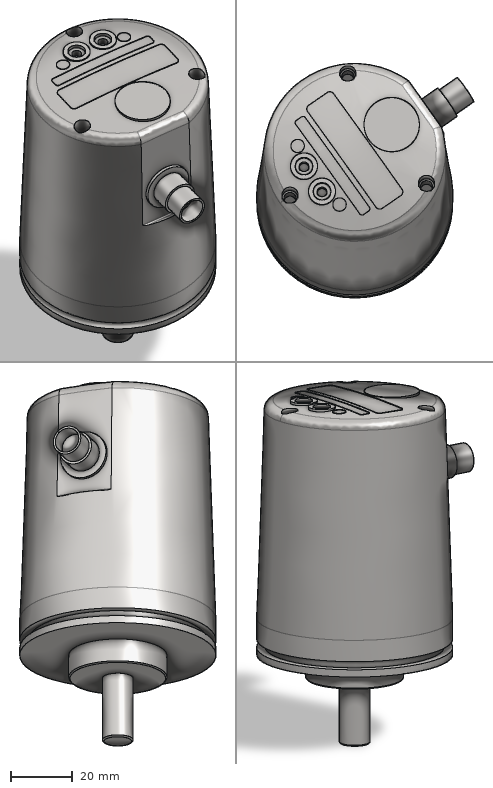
import cadquery as cq
import math


shaft_dia = 10.0
shaft_length = 29.54
shaft_chamfer = 0.5
pilot_dia = 31.75
pilot_height = 7.9
pilot_chamfer = 0.4
body_dia = 63.5
flange_thickness = 2.4
groove_dia = 57.9
band_bottom_z = 5.1
band_top_z = 12.2

rim_z = 81.3
rim_dia = 58.7
rim_fillet = 3.2
dome_top_z = 85.52
dome_radius = 340.0
pad_top_z = 85.65
draft_angle = math.degrees(math.atan((body_dia - rim_dia) / 2 / (rim_z - band_top_z)))

cover_turn = -10.0

flat_depth = 1.5
flat_bottom_z = 46.0
flat_corner_fillet = 0.5

connector_z = 59.0
washer_dia = 15.8
washer_thickness = 1.1
collar_dia = 11.2
collar_end = 7.9
plug_dia = 9.6
plug_end = 15.07
plug_bore_dia = 8.2
plug_bore_depth = 6.0

screw_count = 3
screw_circle_radius = 25.6
screw_first_angle = 60.0
screw_head_dia = 5.23
screw_head_floor_z = 79.0
screw_hole_dia = 3.96
screw_hole_floor_z = 73.0

disc_dia = 17.9
disc_x = 14.6
window_width = 10.3
window_length = 41.5
window_corner = 1.5
recess_depth = 0.2
label_width = 3.8
label_length = 37.9
label_corner = 0.9
label_x = -8.8
button_x = -16.5
button_y = 5.08
button_dia = 8.75
button_recess_dia = 5.69
button_recess_depth = 1.2
button_hole_dia = 3.17
button_hole_depth = 3.5
badge_x = -14.3
badge_y = 11.8
badge_dia = 4.37

pad_embed_depth = 2.0
pad_base_z = dome_top_z - pad_embed_depth


def cylinder(dia, z_low, z_high, x=0.0, y=0.0):
    """Upright cylinder between two heights."""
    return cq.Workplane("XY", origin=(x, y, z_low)).circle(dia / 2).extrude(z_high - z_low)


def rounded_bar(width, length, corner, z_low, z_high, x=0.0):
    """Upright bar with rounded vertical corners, its length along Y."""
    bar = cq.Workplane("XY", origin=(x, 0, z_low)).rect(width, length).extrude(z_high - z_low)
    return bar.edges("|Z").fillet(corner)


def make_base():
    """Shaft, pilot boss, flange, groove and the straight band of the body."""
    shaft = cylinder(shaft_dia, -shaft_length, 0).faces("<Z").chamfer(shaft_chamfer)
    pilot = cylinder(pilot_dia, -pilot_height, 0).faces("<Z").chamfer(pilot_chamfer)
    flange = cylinder(body_dia, 0, flange_thickness)
    groove_core = cylinder(groove_dia, 0, band_top_z)
    band = cylinder(body_dia, band_bottom_z, band_top_z)
    return flange.union(groove_core).union(band).union(pilot).union(shaft)


def wall_radius(z):
    """Radius of the tapered wall at height z."""
    return body_dia / 2 - (z - band_top_z) * math.tan(math.radians(draft_angle))


def dome_height(radius):
    """Height of the domed roof at a distance from the axis."""
    return dome_top_z - dome_radius + math.sqrt(dome_radius**2 - radius**2)


def make_cover_shell():
    """Tapered wall under a domed roof, with the connector flat cut before the rim is rounded."""
    edge_radius = wall_radius(dome_height(rim_dia / 2))
    edge_z = dome_height(edge_radius)
    half_radius = edge_radius / 2
    wall = (
        cq.Workplane("XZ")
        .moveTo(0, band_top_z)
        .lineTo(-body_dia / 2, band_top_z)
        .lineTo(-edge_radius, edge_z)
        .threePointArc((-half_radius, dome_height(half_radius)), (0, dome_height(0)))
        .close()
        .revolve(360, (0, 0, 0), (0, 1, 0))
    )
    flat_cut = flat_plane(flat_bottom_z).box(
        body_dia, body_dia, body_dia, centered=(True, False, False)
    )
    flat_cut = flat_cut.edges("|Y").edges("<Z").edges("<X").fillet(flat_corner_fillet)
    rim_zone = cq.selectors.BoxSelector(
        (-body_dia, -body_dia, rim_z), (body_dia, body_dia, pad_top_z)
    )
    return wall.cut(flat_cut).edges(rim_zone).fillet(rim_fillet)


def flat_plane(z):
    """Workplane on the connector flat at height z: local Y runs up the flat, local Z points outward."""
    tilt = math.radians(draft_angle)
    return cq.Workplane(cq.Plane(
        origin=(wall_radius(z) - flat_depth, 0, z),
        xDir=(0, 1, 0),
        normal=(math.cos(tilt), 0, math.sin(tilt)),
    ))


def make_connector():
    """Washer, collar and hollow plug standing square on the flat."""
    plane = flat_plane(connector_z)
    washer = plane.circle(washer_dia / 2).extrude(washer_thickness)
    collar = plane.circle(collar_dia / 2).extrude(collar_end)
    plug = plane.circle(plug_dia / 2).extrude(plug_end)
    bore = (
        plane.workplane(offset=plug_end - plug_bore_depth)
        .circle(plug_bore_dia / 2)
        .extrude(plug_bore_depth)
    )
    return washer.union(collar).union(plug).cut(bore)


def add_screw_holes(cover):
    """Counterbored holes evenly spaced around the rim."""
    for index in range(screw_count):
        angle = math.radians(screw_first_angle + index * 360 / screw_count)
        x = screw_circle_radius * math.cos(angle)
        y = screw_circle_radius * math.sin(angle)
        cover = cover.cut(cylinder(screw_head_dia, screw_head_floor_z, pad_top_z, x, y))
        cover = cover.cut(cylinder(screw_hole_dia, screw_hole_floor_z, pad_top_z, x, y))
    return cover


def add_raised_pads(cover):
    """Round pads with level tops: one large disc and two counterbored buttons."""
    cover = cover.union(cylinder(disc_dia, pad_base_z, pad_top_z, disc_x))
    recess_floor_z = pad_top_z - button_recess_depth
    hole_floor_z = pad_top_z - button_hole_depth
    for y in (button_y, -button_y):
        cover = cover.union(cylinder(button_dia, pad_base_z, pad_top_z, button_x, y))
        cover = cover.cut(cylinder(button_recess_dia, recess_floor_z, pad_top_z, button_x, y))
        cover = cover.cut(cylinder(button_hole_dia, hole_floor_z, pad_top_z, button_x, y))
    return cover


def cut_shallow_recesses(cover):
    """Window, label and badge recesses whose floors follow the dome."""
    ball = cq.Workplane("XY").sphere(dome_radius - recess_depth)
    floor = ball.rotate((0, 0, 0), (1, 0, 0), 90).translate((0, 0, dome_top_z - dome_radius))
    recesses = [
        rounded_bar(window_width, window_length, window_corner, pad_base_z, pad_top_z),
        rounded_bar(label_width, label_length, label_corner, pad_base_z, pad_top_z, label_x),
        cylinder(badge_dia, pad_base_z, pad_top_z, badge_x, badge_y),
        cylinder(badge_dia, pad_base_z, pad_top_z, badge_x, -badge_y),
    ]
    for recess in recesses:
        cover = cover.cut(recess.cut(floor))
    return cover


cover = make_cover_shell()
cover = add_screw_holes(cover)
cover = cut_shallow_recesses(cover)
cover = add_raised_pads(cover)
cover = cover.union(make_connector())
result = make_base().union(cover.rotate((0, 0, 0), (0, 0, 1), cover_turn))